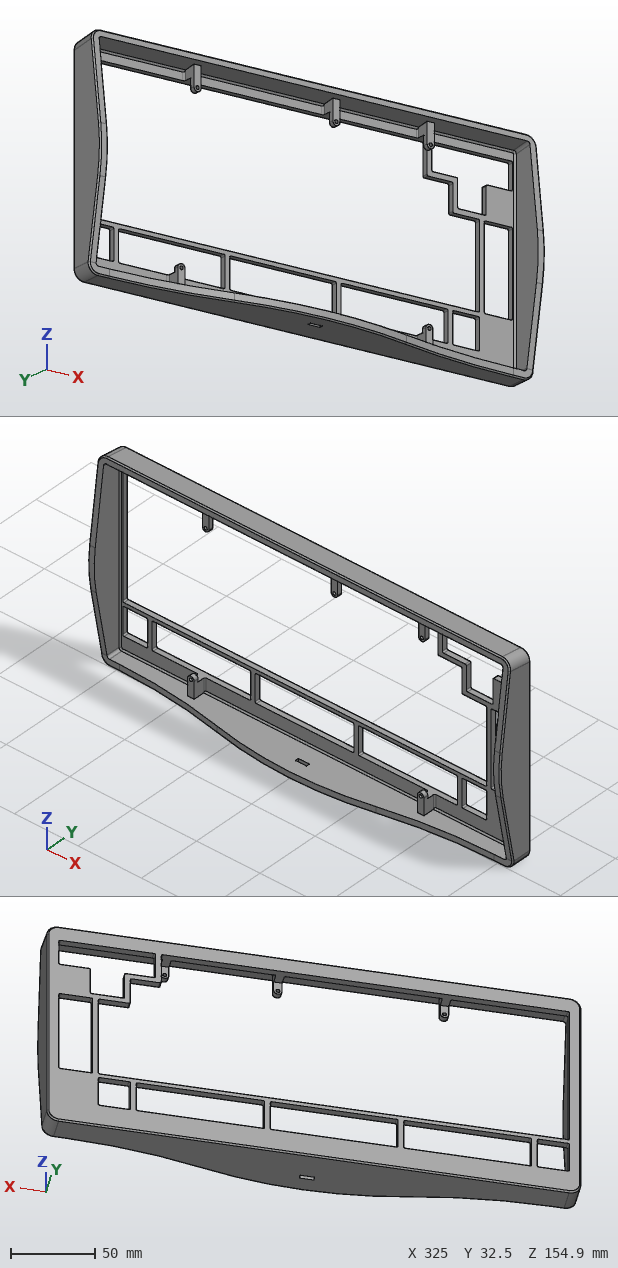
import cadquery as cq
import math

WIDTH = 325.0
HEIGHT = 155.0
HALF_WIDTH = WIDTH / 2
CORNER_RADIUS = 7.0
INNER_CORNER_RADIUS = 2.0

TOLERANCE = 0.03

SIDE_WALL = 5.2
BOTTOM_WALL = 5.5
TOP_WALL = 5.0
PLATE = 4.2
INNER_CHAMFER = 1.15
RIM_CHAMFER = 1.0
BACK_CHAMFER = 1.0

BOTTOM_DEPTH = 16.2
TOP_DEPTH = 18.5
SIDE_APEX_DEPTH = 29.2
SIDE_APEX_Z = 75.5
SIDE_APEX_RADIUS = 104.0

RIM_SLOPE = (SIDE_APEX_DEPTH - TOP_DEPTH) / (HEIGHT - SIDE_APEX_Z)
BACK_TOP_Z = HEIGHT - RIM_SLOPE * TOP_DEPTH

LIP_DEPTH = 32.5
LIP_HALF_LENGTH = 147.5
LIP_INFLECTION_X = 62.7

SLOT_LENGTH = 8.8
SLOT_WIDTH = 2.5
SLOT_DEPTH = 20.0

OPENING_FILLET = 1.0
OPENING_HALF_WIDTH = 155.5
BAR = 3.5
LOWER_ROW_Z = 16.2
LOWER_ROW_TOP_Z = 38.0
MAIN_Z = 41.0
MAIN_TOP_Z = 141.7
LOWER_ROW_STARTS = [-OPENING_HALF_WIDTH, -132.3, -51.0, 30.2, 111.8]
LOWER_ROW_END = 131.3
STEP_X = [93.0, 111.8, LOWER_ROW_END]
STEP_Z = [119.3, 99.8]
NOTCH_END_X = 136.2

TAB_WIDTH = 5.2
TAB_THICKNESS = 3.5
TAB_FRONT = 14.0
TAB_HOLE_RADIUS = 1.15
TAB_ROOT_FILLET = 1.0
TOP_TAB_X = [-81.5, 19.8, 88.7]
TOP_TAB_END_Z = 132.5
BOTTOM_TAB_X = [-93.3, 87.8]
BOTTOM_TAB_END_Z = 21.0


def side_block():
    """Solid block with the side profile of the frame and rounded corners."""
    profile = [
        (0, 0),
        (-BOTTOM_DEPTH, 0),
        (-BOTTOM_DEPTH, CORNER_RADIUS),
        (-SIDE_APEX_DEPTH, SIDE_APEX_Z),
        (-TOP_DEPTH, HEIGHT),
        (0, BACK_TOP_Z),
    ]
    block = cq.Workplane("YZ").polyline(profile).close().extrude(HALF_WIDTH, both=True)
    apex = cq.selectors.NearestToPointSelector((0, -SIDE_APEX_DEPTH, SIDE_APEX_Z))
    block = block.edges(apex).fillet(SIDE_APEX_RADIUS)
    for x in (-HALF_WIDTH, HALF_WIDTH):
        bottom_corner = (x, -BOTTOM_DEPTH / 2, 0)
        top_corner = (x, -TOP_DEPTH / 2, (HEIGHT + BACK_TOP_Z) / 2)
        for corner in (bottom_corner, top_corner):
            block = block.edges(cq.selectors.NearestToPointSelector(corner)).fillet(CORNER_RADIUS)
    return block


def cavity():
    """Space inside the walls, in front of the plate, with a chamfered floor."""
    reach = 2 * LIP_DEPTH
    floor_top_z = BACK_TOP_Z - TOP_WALL + RIM_SLOPE * PLATE
    reach_top_z = BACK_TOP_Z - TOP_WALL + RIM_SLOPE * reach
    profile = [
        (-PLATE, BOTTOM_WALL),
        (-reach, BOTTOM_WALL),
        (-reach, reach_top_z),
        (-PLATE, floor_top_z),
    ]
    space = cq.Workplane("YZ").polyline(profile).close().extrude(HALF_WIDTH - SIDE_WALL, both=True)
    space = space.edges("(not |X) and (not |Z)").fillet(INNER_CORNER_RADIUS)
    return space.faces(">Y").chamfer(INNER_CHAMFER)


def lip():
    """Bottom wall with its front edge swept forward in two S-curves."""
    inflection_depth = LIP_DEPTH - (LIP_DEPTH - BOTTOM_DEPTH) * LIP_INFLECTION_X / LIP_HALF_LENGTH
    end_x = HALF_WIDTH - CORNER_RADIUS
    return (
        cq.Workplane("XY")
        .moveTo(-end_x, -BOTTOM_DEPTH / 2)
        .lineTo(end_x, -BOTTOM_DEPTH / 2)
        .lineTo(end_x, -BOTTOM_DEPTH)
        .lineTo(LIP_HALF_LENGTH, -BOTTOM_DEPTH)
        .tangentArcPoint((LIP_INFLECTION_X, -inflection_depth), relative=False)
        .threePointArc((0, -LIP_DEPTH), (-LIP_INFLECTION_X, -inflection_depth))
        .tangentArcPoint((-LIP_HALF_LENGTH, -BOTTOM_DEPTH), relative=False)
        .lineTo(-end_x, -BOTTOM_DEPTH)
        .close()
        .extrude(BOTTOM_WALL)
    )


def is_outer_rim(edge):
    """True for an edge of the front rim that lies on the outside of the frame."""
    return all(
        v.Y < -BOTTOM_DEPTH + TOLERANCE
        and (abs(v.X) > HALF_WIDTH - TOLERANCE or v.Z < TOLERANCE or v.Z > HEIGHT - TOLERANCE)
        for v in edge.Vertices()
    )


def shell():
    """Walls and closed back plate, with the outer edges chamfered."""
    block = side_block().faces(">Y").chamfer(BACK_CHAMFER)
    body = block.union(lip()).cut(cavity())
    return body.edges().filter(is_outer_rim).chamfer(RIM_CHAMFER)


def opening(points):
    """Cutter for one opening of the plate, with slightly rounded corners."""
    cutter = cq.Workplane("XZ").polyline(points).close().extrude(PLATE)
    return cutter.edges("|Y").fillet(OPENING_FILLET)


def rectangle(x_start, x_end, z_start, z_end):
    """Corner points of an upright rectangle."""
    return [(x_start, z_start), (x_end, z_start), (x_end, z_end), (x_start, z_end)]


def key_openings():
    """Cutters for all the openings in the plate."""
    outlines = []

    row_ends = [start - BAR for start in LOWER_ROW_STARTS[1:]] + [LOWER_ROW_END]
    for start, end in zip(LOWER_ROW_STARTS, row_ends):
        outlines.append(rectangle(start, end, LOWER_ROW_Z, LOWER_ROW_TOP_Z))

    outlines.append([
        (-OPENING_HALF_WIDTH, MAIN_Z),
        (STEP_X[2], MAIN_Z),
        (STEP_X[2], STEP_Z[1]),
        (STEP_X[1], STEP_Z[1]),
        (STEP_X[1], STEP_Z[0]),
        (STEP_X[0], STEP_Z[0]),
        (STEP_X[0], MAIN_TOP_Z),
        (-OPENING_HALF_WIDTH, MAIN_TOP_Z),
    ])

    shoulder_z = STEP_Z[0] + BAR
    outlines.append([
        (STEP_X[0] + BAR, MAIN_TOP_Z),
        (STEP_X[0] + BAR, shoulder_z),
        (STEP_X[1] + BAR, shoulder_z),
        (STEP_X[1] + BAR, STEP_Z[1] + BAR),
        (NOTCH_END_X, STEP_Z[1] + BAR),
        (NOTCH_END_X, shoulder_z),
        (OPENING_HALF_WIDTH, shoulder_z),
        (OPENING_HALF_WIDTH, MAIN_TOP_Z),
    ])

    outlines.append(rectangle(STEP_X[2] + BAR, OPENING_HALF_WIDTH, MAIN_Z, STEP_Z[1]))
    return [opening(points) for points in outlines]


def tab(x, root_z, plate_edge_z, end_z):
    """Fixing tab: a foot on the plate and an upright with a round, drilled end.

    root_z lies inside the frame wall; end_z is the tip of the upright.
    """
    radius = TAB_WIDTH / 2
    direction = math.copysign(1, end_z - root_z)
    hole_z = end_z - direction * radius
    left = x - radius
    right = x + radius
    foot = (
        cq.Workplane("XZ", origin=(0, -PLATE / 2, 0))
        .polyline(rectangle(left, right, root_z, plate_edge_z))
        .close()
        .extrude(TAB_FRONT - PLATE / 2)
    )
    upright = (
        cq.Workplane("XZ", origin=(0, TAB_THICKNESS - TAB_FRONT, 0))
        .moveTo(left, root_z)
        .lineTo(right, root_z)
        .lineTo(right, hole_z)
        .threePointArc((x, end_z), (left, hole_z))
        .close()
        .extrude(TAB_THICKNESS)
    )

    arc_offset = TAB_ROOT_FILLET * (1 - math.cos(math.pi / 4))
    flare = (
        cq.Workplane("XY", origin=(0, 0, root_z))
        .moveTo(left - TAB_ROOT_FILLET, -PLATE)
        .threePointArc(
            (left - arc_offset, -PLATE - arc_offset),
            (left, -PLATE - TAB_ROOT_FILLET),
        )
        .lineTo(x, -PLATE - TAB_ROOT_FILLET)
        .lineTo(x, -PLATE / 2)
        .lineTo(left - TAB_ROOT_FILLET, -PLATE / 2)
        .close()
        .extrude(plate_edge_z - root_z)
    )
    flares = flare.union(flare.mirror("YZ", (x, 0, 0)))
    hole = cq.Workplane("XZ").center(x, hole_z).circle(TAB_HOLE_RADIUS).extrude(TAB_FRONT)
    return foot.union(upright).union(flares).cut(hole)


def slot():
    """Cutter for the slot through the bottom wall."""
    return cq.Workplane("XY").center(0, -SLOT_DEPTH).rect(SLOT_LENGTH, SLOT_WIDTH).extrude(BOTTOM_WALL)


result = shell().cut(slot())
for cutter in key_openings():
    result = result.cut(cutter)
for tab_x in BOTTOM_TAB_X:
    result = result.union(tab(tab_x, BOTTOM_WALL / 2, LOWER_ROW_Z, BOTTOM_TAB_END_Z))
for tab_x in TOP_TAB_X:
    result = result.union(tab(tab_x, BACK_TOP_Z - TOP_WALL / 2, MAIN_TOP_Z, TOP_TAB_END_Z))